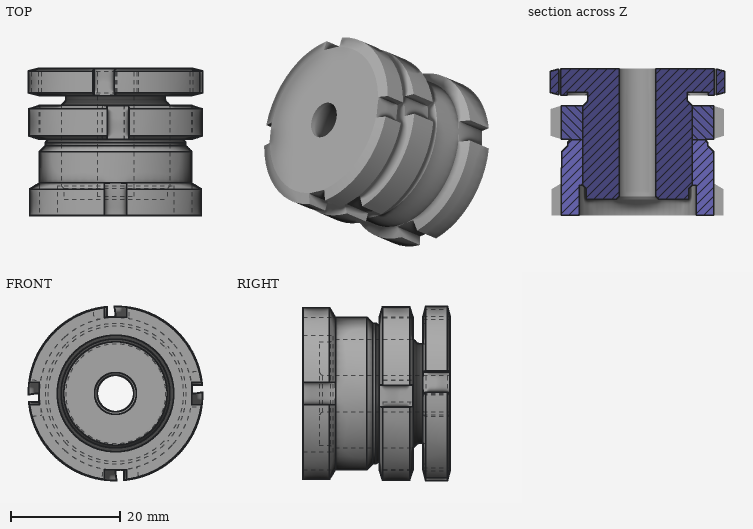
import cadquery as cq
import math


outer_radius = 16.0
thread_radius = 10.0
slot_floor_radius = 14.0
slot_count = 4

flange_radius = 15.87
barrel_radius = slot_floor_radius
collar_radius = 12.9
collar_chamfer_radial = 0.48
collar_chamfer_axial = 0.6
flange_rim_end = 4.85
flange_end = 6.0
collar_start = 12.8
sleeve_length = 14.0
recess_radius = 10.7
sleeve_slot_width = 4.1
barrel_chamfer = barrel_radius - collar_radius

nut_start = sleeve_length
nut_thickness = 6.2
nut_chamfer_axial = 0.65
nut_chamfer_radial = 2.05
nut_slot_width = 4.0
nut_turn = 1.8

spindle_start = 3.0
overall_length = 27.0
head_thickness = 5.0
head_chamfer_axial = 0.5
head_chamfer_radial = 2.0
head_slot_width = 4.0
head_recess_radius = 12.9
head_recess_depth = 0.5
head_turn = -8.0
pilot_radius = 9.47
pilot_length = 2.0
front_chamfer = thread_radius - pilot_radius
neck_radius = 9.15
neck_fillet = 0.6
runout_angle = 45
neck_start = 21.28
hole_radius = 3.33
hole_chamfer = 0.5
head_start = overall_length - head_thickness
shank_start = spindle_start + pilot_length + front_chamfer


def revolve_about_y(profile):
    """Turn a closed outline drawn in the XY plane about the Y axis."""
    return profile.revolve(360, (0, 0, 0), (0, 1, 0))


def turned(points):
    """Turn a straight-sided outline of (radius, Y) points about the Y axis."""
    return revolve_about_y(cq.Workplane("XY").polyline(points).close())


def cut_slots(body, start, end, width, turn):
    """Cut equally spaced rim slots with flat floors between two Y stations."""
    height = outer_radius
    slot = cq.Workplane("XY").box(width, end - start, height)
    slot = slot.translate((0, (start + end) / 2, slot_floor_radius + height / 2))
    for index in range(slot_count):
        angle = turn + index * 360 / slot_count
        body = body.cut(slot.rotate((0, 0, 0), (0, 1, 0), angle))
    return body


def make_sleeve():
    """Flanged sleeve with a front recess and a chamfered collar under the nut."""
    recess_depth = shank_start
    body = turned([
        (recess_radius, 0),
        (flange_radius, 0),
        (flange_radius, flange_rim_end),
        (barrel_radius, flange_end),
        (barrel_radius, collar_start - barrel_chamfer),
        (collar_radius, collar_start),
        (collar_radius, sleeve_length - collar_chamfer_axial),
        (collar_radius - collar_chamfer_radial, sleeve_length),
        (thread_radius, sleeve_length),
        (thread_radius, recess_depth),
        (recess_radius, recess_depth),
    ])
    return cut_slots(body, 0, flange_end, sleeve_slot_width, 0)


def make_lock_nut():
    """Slotted ring with both rim edges chamfered, seated on the sleeve."""
    nut_end = nut_start + nut_thickness
    face_radius = outer_radius - nut_chamfer_radial
    body = turned([
        (thread_radius, nut_start),
        (face_radius, nut_start),
        (outer_radius, nut_start + nut_chamfer_axial),
        (outer_radius, nut_end - nut_chamfer_axial),
        (face_radius, nut_end),
        (thread_radius, nut_end),
    ])
    return cut_slots(body, nut_start, nut_end, nut_slot_width, nut_turn)


def neck_fillet_point(degrees):
    """Point on the neck fillet, at 0 degrees on the neck and runout_angle on the cone."""
    angle = math.radians(degrees)
    radius = neck_radius + neck_fillet * (1 - math.cos(angle))
    return (radius, neck_start - neck_fillet * math.sin(angle))


def make_spindle():
    """Slotted head with a recessed front face, filleted neck, plain shank, pilot and through hole."""
    face_radius = outer_radius - head_chamfer_radial
    runout_radius, runout_end = neck_fillet_point(runout_angle)
    runout_start = runout_end - (thread_radius - runout_radius) / math.tan(math.radians(runout_angle))
    profile = (
        cq.Workplane("XY")
        .moveTo(hole_radius + hole_chamfer, spindle_start)
        .lineTo(pilot_radius, spindle_start)
        .lineTo(pilot_radius, spindle_start + pilot_length)
        .lineTo(thread_radius, shank_start)
        .lineTo(thread_radius, runout_start)
        .lineTo(runout_radius, runout_end)
        .threePointArc(neck_fillet_point(runout_angle / 2), (neck_radius, neck_start))
        .lineTo(neck_radius, head_start + head_recess_depth)
        .lineTo(head_recess_radius, head_start + head_recess_depth)
        .lineTo(head_recess_radius, head_start)
        .lineTo(face_radius, head_start)
        .lineTo(outer_radius, head_start + head_chamfer_axial)
        .lineTo(outer_radius, overall_length - head_chamfer_axial)
        .lineTo(face_radius, overall_length)
        .lineTo(hole_radius, overall_length)
        .lineTo(hole_radius, spindle_start + hole_chamfer)
        .close()
    )
    body = revolve_about_y(profile)
    return cut_slots(body, head_start, overall_length, head_slot_width, head_turn)


sleeve = make_sleeve()
lock_nut = make_lock_nut()
spindle = make_spindle()

result = cq.Compound.makeCompound([sleeve.val(), lock_nut.val(), spindle.val()])